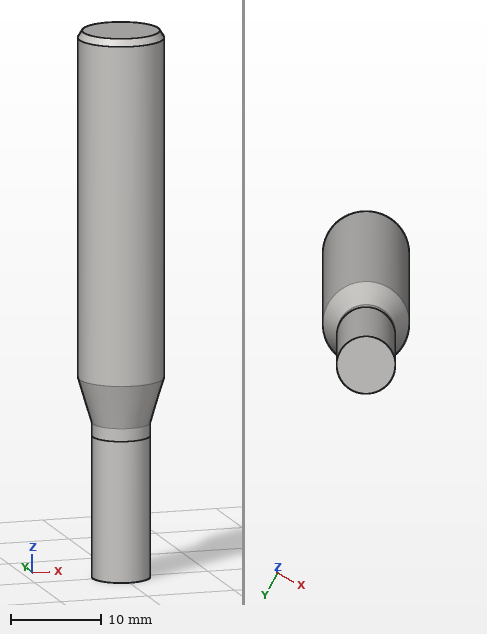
import cadquery as cq

total_length = 61.9
shank_diameter = 9.6
neck_diameter = 6.5

cutter_length = 16.05
neck_length = 1.5
taper_length = 5.15
end_chamfer_height = 0.8
end_chamfer_width = 0.5

shank_radius = shank_diameter / 2
neck_radius = neck_diameter / 2
neck_top = cutter_length + neck_length
taper_top = neck_top + taper_length
chamfer_bottom = total_length - end_chamfer_height


def make_shank():
    """Turned shank: short neck, taper, long cylinder and chamfered end."""
    return (
        cq.Workplane("XZ")
        .moveTo(0, cutter_length)
        .lineTo(neck_radius, cutter_length)
        .lineTo(neck_radius, neck_top)
        .lineTo(shank_radius, taper_top)
        .lineTo(shank_radius, chamfer_bottom)
        .lineTo(shank_radius - end_chamfer_width, total_length)
        .lineTo(0, total_length)
        .close()
        .revolve(360, (0, 0, 0), (0, 1, 0))
    )


def make_cutter():
    """Plain cylindrical cutting portion, as thick as the neck it meets."""
    return cq.Workplane("XY").circle(neck_radius).extrude(cutter_length)


shank = make_shank()
cutter = make_cutter()

result = cq.Compound.makeCompound([shank.val(), cutter.val()])